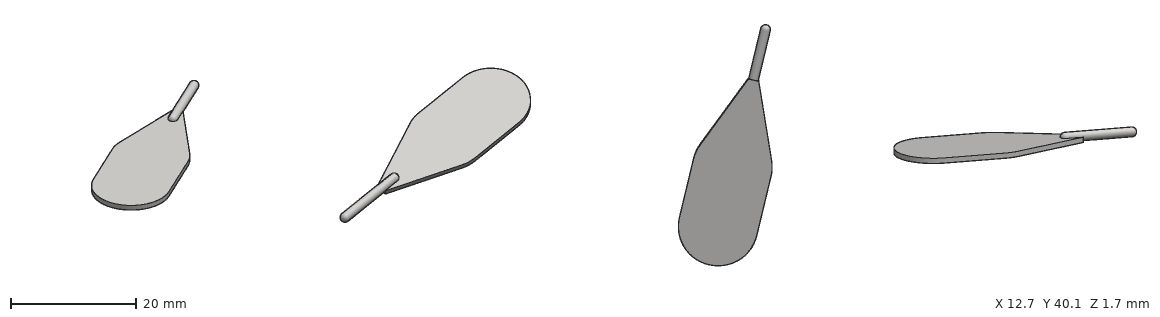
import cadquery as cq

plate_width = 12.7
half_width = plate_width / 2
plate_thickness = 0.9
round_to_corner = 11.25
round_to_tip = 24.7
tip_half_width = 0.85
shoulder_radius = 6.35

total_length = 40.15
rod_radius = 0.8
rod_length = 12.7

round_end_y = half_width
shoulder_y = round_end_y + round_to_corner
tip_y = round_end_y + round_to_tip


def make_plate():
    outline = (
        cq.Workplane("XY")
        .moveTo(-half_width, round_end_y)
        .threePointArc((0, 0), (half_width, round_end_y))
        .lineTo(half_width, shoulder_y)
        .lineTo(tip_half_width, tip_y)
        .lineTo(-tip_half_width, tip_y)
        .lineTo(-half_width, shoulder_y)
        .close()
    )
    plate = outline.extrude(plate_thickness)
    margin = 0.05
    shoulders = cq.selectors.BoxSelector(
        (-plate_width, shoulder_y - margin, -margin),
        (plate_width, shoulder_y + margin, plate_thickness + margin),
    )
    return plate.edges("|Z").edges(shoulders).fillet(shoulder_radius)


def make_rod():
    barrel_start_y = total_length - rod_length + rod_radius
    barrel_end_y = total_length - rod_radius
    rod = (
        cq.Workplane("XZ", origin=(0, barrel_start_y, plate_thickness))
        .circle(rod_radius)
        .extrude(barrel_start_y - barrel_end_y)
    )
    for center_y in (barrel_start_y, barrel_end_y):
        round_end = cq.Workplane("XY", origin=(0, center_y, plate_thickness)).sphere(rod_radius)
        rod = rod.union(round_end)
    return rod


result = make_plate().union(make_rod())